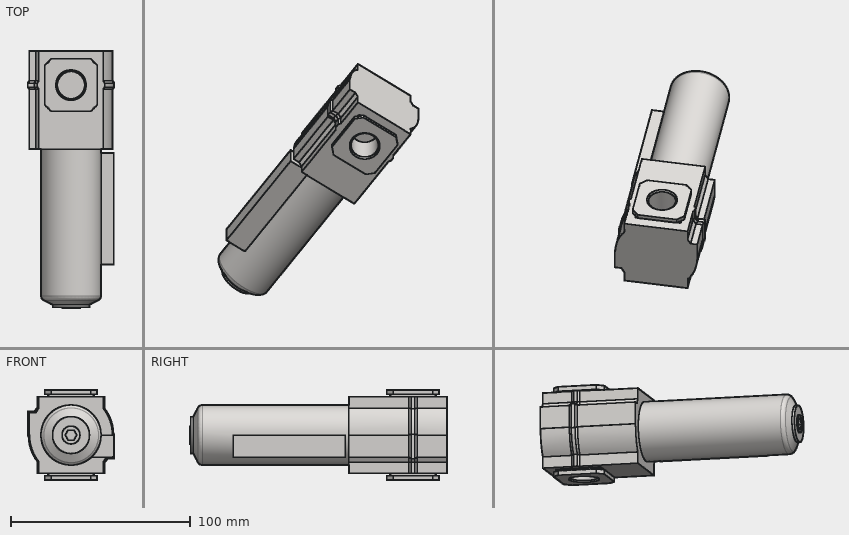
import cadquery as cq
import math

total_length = 143.0
total_height = 50.2
head_length = 54.6
head_back = 19.0
head_front = head_back - head_length
nose_tip = head_back - total_length

head_half_width = 17.9
head_half_height = 21.3
flank_reach = 23.3
arc_reach = 23.0
arc_radius = 24.3
ledge_height = 12.3
ledge_slope_x = 19.6
ledge_slope_top = 15.2

band_rise = 0.9
band_base_width = 4.7
band_crest_width = 2.1
band_arc_rise = 0.75
band_step = 0.6

pad_size = 29.2
pad_corner = 3.6
pad_outer_height = total_height / 2
pad_thickness = 2.6
neck_size = 26.0
neck_corner = 0.6
port_radius = 7.6
port_chamfer = 0.9
port_depth = 17.2

bowl_radius = 16.7
cap_radius = 10.3
cap_length = 1.5
cone_rise = 0.52
shoulder_fillet = 2.9
plug_radius = 5.0
plug_length = 0.5
hex_across_flats = 5.6
hex_depth = 2.1
hex_turn = 30.0

fin_reach = 23.9
fin_height = 12.3
fin_gap = 2.0
fin_length = 62.2


def flank_section(y, rise):
    """Outline of the head at y, with both flanks moved outward by rise."""
    width = head_half_width + rise
    reach = flank_reach + rise
    slope_x = ledge_slope_x + rise
    ledge = ledge_height + rise
    step = band_step * rise
    arc_centre = arc_reach + band_arc_rise * rise - arc_radius

    def arc_x(z):
        return arc_centre + math.sqrt(arc_radius**2 - z**2)

    arc_end = math.sqrt(arc_radius**2 - (width - arc_centre) ** 2)
    arc_middle = (arc_end + step) / 2
    return (
        cq.Workplane("XZ", origin=(0, y, 0))
        .moveTo(-width, head_half_height)
        .lineTo(-width, ledge_slope_top)
        .lineTo(-slope_x, ledge)
        .lineTo(-reach, ledge)
        .lineTo(-reach, -step)
        .lineTo(-arc_x(step), -step)
        .threePointArc((-arc_x(arc_middle), -arc_middle), (-width, -arc_end))
        .lineTo(-width, -head_half_height)
        .lineTo(width, -head_half_height)
        .lineTo(width, -ledge_slope_top)
        .lineTo(slope_x, -ledge)
        .lineTo(reach, -ledge)
        .lineTo(reach, step)
        .lineTo(arc_x(step), step)
        .threePointArc((arc_x(arc_middle), arc_middle), (width, arc_end))
        .lineTo(width, head_half_height)
        .close()
    )


def band_loft(y_start, rise_start, y_end, rise_end):
    """Sloping side of the band between two outlines."""
    start = flank_section(y_start, rise_start).wires().val()
    end = flank_section(y_end, rise_end).wires().val()
    return cq.Workplane(cq.Solid.makeLoft([start, end], True))


def make_band():
    """Band with a flat crest and two sloping sides, centred on the port axis."""
    base = band_base_width / 2
    crest = band_crest_width / 2
    middle = flank_section(crest, band_rise).extrude(band_crest_width)
    rear = band_loft(base, 0, crest, band_rise)
    front = band_loft(-crest, band_rise, -base, 0)
    return middle.union(rear).union(front)


def make_pad():
    """Square port pad on a narrower neck, on the upper face of the head."""
    pad_bottom = pad_outer_height - pad_thickness
    neck = (
        cq.Workplane("XY", origin=(0, 0, head_half_height))
        .rect(neck_size, neck_size)
        .extrude(pad_bottom - head_half_height)
        .edges("|Z")
        .chamfer(neck_corner)
    )
    plate = (
        cq.Workplane("XY", origin=(0, 0, pad_bottom))
        .rect(pad_size, pad_size)
        .extrude(pad_thickness)
        .edges("|Z")
        .chamfer(pad_corner)
    )
    return neck.union(plate)


def make_port():
    """Blind port hole with a chamfered mouth, as a cutting tool."""
    mouth_radius = port_radius + port_chamfer
    return (
        cq.Workplane("XZ")
        .moveTo(0, pad_outer_height)
        .lineTo(mouth_radius, pad_outer_height)
        .lineTo(port_radius, pad_outer_height - port_chamfer)
        .lineTo(port_radius, pad_outer_height - port_depth)
        .lineTo(0, pad_outer_height - port_depth)
        .close()
        .revolve(360, (0, 0, 0), (0, 1, 0))
    )


def make_head():
    """Head with its band, and a pad and port on the upper and lower faces."""
    head = flank_section(head_back, 0).extrude(head_length).union(make_band())
    for turn in (0, 180):
        head = head.union(make_pad().rotate((0, 0, 0), (0, 1, 0), turn))
        head = head.cut(make_port().rotate((0, 0, 0), (0, 1, 0), turn))
    return head


def make_fin():
    """Rectangular fin below the mid-plane, reaching from the bowl axis out to +X."""
    fin_end = head_front - fin_gap - fin_length
    return (
        cq.Workplane("XY", origin=(0, fin_end, -fin_height))
        .box(fin_reach, fin_length, fin_height, centered=False)
    )


def make_bowl():
    """Round bowl with a conical nose, an end cap, a hex plug and the fin."""
    plug_base = nose_tip + plug_length
    cap_base = plug_base + cap_length
    cone_base = cap_base + cone_rise * (bowl_radius - cap_radius)
    barrel = (
        cq.Workplane("XY")
        .moveTo(0, head_front)
        .lineTo(bowl_radius, head_front)
        .lineTo(bowl_radius, cone_base)
        .lineTo(cap_radius, cap_base)
        .lineTo(cap_radius, plug_base)
        .lineTo(0, plug_base)
        .close()
        .revolve(360, (0, 0, 0), (0, 1, 0))
    )
    barrel = barrel.edges(cq.selectors.RadiusNthSelector(-1)).edges("<Y").fillet(shoulder_fillet)
    plug = cq.Workplane("XZ", origin=(0, plug_base, 0)).circle(plug_radius).extrude(plug_length)
    hex_socket = (
        cq.Workplane("XZ", origin=(0, nose_tip + hex_depth, 0))
        .polygon(6, hex_across_flats, circumscribed=True)
        .extrude(hex_depth)
        .rotate((0, 0, 0), (0, 1, 0), hex_turn)
    )
    return barrel.union(make_fin()).union(plug).cut(hex_socket)


head = make_head()
bowl = make_bowl()
result = cq.Compound.makeCompound([head.val(), bowl.val()])